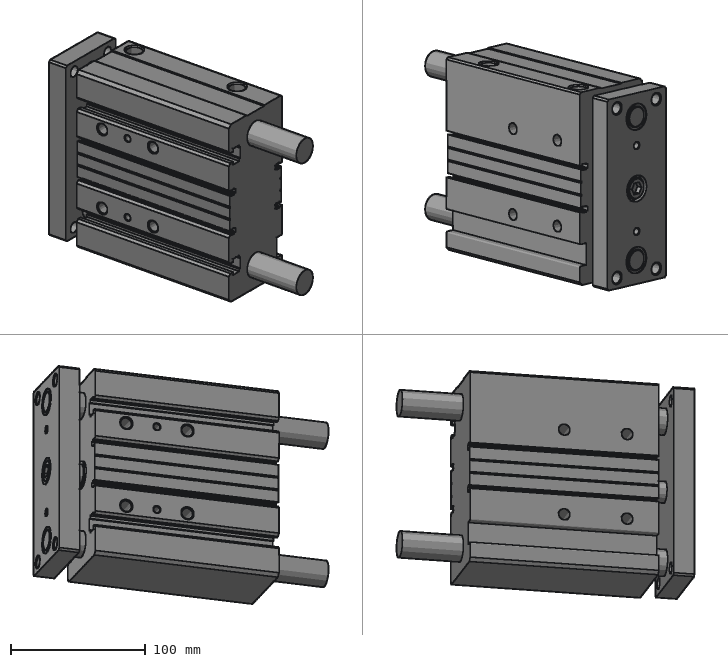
import cadquery as cq
import math


total_length = 218.0
plate_thickness = 16.0
housing_start = 27.7
housing_length = 143.9
housing_end = housing_start + housing_length

plate_width = 60.0
plate_height = 146.5
plate_chamfer = 1.5
plate_hole_y = 20.0
plate_hole_z = 65.0

housing_width = 64.0
housing_height = 148.0
half_width = housing_width / 2
half_height = housing_height / 2
corner_chamfer = 2.6
top_back_chamfer = 1.5
top_recess_half_width = 10.0
top_recess_depth = 0.7

guide_diameter = 20.0
guide_spacing = 109.9
guide_tip_diameter = 16.1
guide_tip_length = 0.7
guide_levels = (-guide_spacing / 2, guide_spacing / 2)
piston_diameter = 16.1
piston_reach = 43.5
piston_recess_diameter = 20.0
piston_recess_depth = 4.4
tip_chamfer = 0.7
hex_across_flats = 8.5
hex_depth = 4.4
collar_diameter = 21.0
collar_length = 1.3

t_slot_level = 46.0
t_slot_opening = 8.3
t_slot_cavity_height = 13.3
t_slot_neck_end = 5.0
t_slot_depth = 14.0
t_slot_floor_height = 9.2
slot_floor_step = 1.5
lip_chamfer = 2.0

land_half_height = 14.8
land_drop = 1.0
sensor_slot_opening = 3.0
sensor_slot_cavity_height = 4.8
sensor_slot_neck_end = 3.0
sensor_slot_depth = 8.3
sensor_slot_floor_height = 3.0
sensor_slot_level = land_half_height + sensor_slot_opening / 2
land_groove_level = 5.0
land_groove_width = 1.0
land_groove_depth = 0.9

back_groove_bottom = -59.3
back_groove_top = -42.5
back_groove_depth = 6.5
back_groove_fillet = 1.3

mount_hole_diameter = 8.5
mount_hole_chamfer = 0.76
pin_hole_diameter = 5.0
pin_hole_chamfer = 0.5
pin_hole_depth = 9.8
drill_point_angle = 118
hole_level = 33.0
pin_hole_x = 75.9
mount_hole_pitch = 48.0
port_positions = (40.1, 137.1)
port_y = 21.5
port_diameter = 12.6
port_chamfer = 1.0
port_depth = 13.0
port_passage_diameter = 4.5
port_passage_depth = 21.8
cross_bore_diameter = 4.8
cross_bore_length = 8.7


def rod_along_x(diameter, start, end, z=0):
    return cq.Workplane("YZ", origin=(start, 0, z)).circle(diameter / 2).extrude(end - start)


def drill(mouth, direction, diameter, depth, chamfer, pointed=False):
    """Cutter for a hole with a chamfered mouth and, if pointed, a conical drill point."""
    radius = diameter / 2
    outline = (
        cq.Workplane("XZ")
        .moveTo(0, 0)
        .lineTo(radius + chamfer, 0)
        .lineTo(radius, chamfer)
        .lineTo(radius, depth)
    )
    if pointed:
        outline = outline.lineTo(0, depth + radius / math.tan(math.radians(drill_point_angle / 2)))
    else:
        outline = outline.lineTo(0, depth)
    cutter = outline.close().revolve(360, (0, 0, 0), (0, 1, 0)).val()
    return cutter.located(cq.Location(cq.Plane(origin=mouth, normal=direction)))


def slot_along_housing(points):
    """Cutter with a (Y, Z) outline running the full length of the housing."""
    return cq.Workplane("YZ", origin=(housing_start, 0, 0)).polyline(points).close().extrude(housing_length)


def t_slot(level, opening, cavity_height, floor_height, neck_end, depth):
    """T-slot cutter entering from the -Y face, with a narrower step along the slot floor."""
    neck = opening / 2
    cavity = cavity_height / 2
    floor = floor_height / 2
    mouth_y = -half_width
    upper = [
        (mouth_y, neck),
        (mouth_y + neck_end, neck),
        (mouth_y + neck_end, cavity),
        (mouth_y + depth - slot_floor_step, cavity),
        (mouth_y + depth - slot_floor_step, floor),
        (mouth_y + depth, floor),
    ]
    lower = [(y, -z) for y, z in reversed(upper)]
    return slot_along_housing([(y, level + z) for y, z in upper + lower])


def sensor_slot(side):
    """Sensor slot cutter in the -Y face, above (+1) or below (-1) the centre land."""
    return t_slot(side * sensor_slot_level, sensor_slot_opening, sensor_slot_cavity_height,
                  sensor_slot_floor_height, sensor_slot_neck_end, sensor_slot_depth)


def lip_bevel(edge_level, outward):
    """Bevel cutter on a slot lip of the -Y face; outward is +1 or -1 along Z."""
    return slot_along_housing([
        (-half_width, edge_level),
        (-half_width, edge_level + outward * lip_chamfer),
        (-half_width + lip_chamfer, edge_level),
    ])


def housing_blank():
    outline = [
        (-half_width, corner_chamfer - half_height),
        (-half_width, half_height - corner_chamfer),
        (corner_chamfer - half_width, half_height),
        (-top_recess_half_width - top_recess_depth, half_height),
        (-top_recess_half_width, half_height - top_recess_depth),
        (top_recess_half_width, half_height - top_recess_depth),
        (top_recess_half_width + top_recess_depth, half_height),
        (half_width - top_back_chamfer, half_height),
        (half_width, half_height - top_back_chamfer),
        (half_width, corner_chamfer - half_height),
        (half_width - corner_chamfer, -half_height),
        (corner_chamfer - half_width, -half_height),
    ]
    return slot_along_housing(outline)


def cut_front_slots(body):
    for side in (-1, 1):
        wide_level = side * t_slot_level
        body = body.cut(t_slot(wide_level, t_slot_opening, t_slot_cavity_height,
                               t_slot_floor_height, t_slot_neck_end, t_slot_depth))
        for lip in (-1, 1):
            body = body.cut(lip_bevel(wide_level + lip * t_slot_opening / 2, lip))
        body = body.cut(sensor_slot(side))
        body = body.cut(lip_bevel(side * (land_half_height + sensor_slot_opening), side))
    return body


def cut_back_slots(body):
    groove_height = back_groove_top - back_groove_bottom
    groove = (
        cq.Workplane("XY")
        .box(housing_length, back_groove_depth, groove_height, centered=False)
        .translate((housing_start, half_width - back_groove_depth, back_groove_bottom))
    )
    body = body.cut(groove)
    for lip_level in (back_groove_bottom, back_groove_top):
        lip_point = (housing_start + housing_length / 2, half_width, lip_level)
        body = body.edges(cq.NearestToPointSelector(lip_point)).fillet(back_groove_fillet)
    for side in (-1, 1):
        body = body.cut(sensor_slot(side).mirror("XZ"))
    return body


def lower_centre_lands(body):
    """Set the centre lands of both sides back and cut two narrow grooves in each."""
    for face in (-1, 1):
        land_y = face * (half_width - land_drop)
        body = body.cut(slot_along_housing([
            (face * half_width, -land_half_height),
            (face * half_width, land_half_height),
            (land_y, land_half_height),
            (land_y, -land_half_height),
        ]))
        for groove_level in (-land_groove_level, land_groove_level):
            body = body.cut(slot_along_housing([
                (land_y, groove_level - land_groove_width / 2),
                (land_y, groove_level + land_groove_width / 2),
                (land_y - face * land_groove_depth, groove_level + land_groove_width / 2),
                (land_y - face * land_groove_depth, groove_level - land_groove_width / 2),
            ]))
    return body


def cut_side_holes(body):
    """Through mounting holes and blind pin holes in the -Y face."""
    inward = (0, 1, 0)
    for level in (-hole_level, hole_level):
        for offset in (-mount_hole_pitch / 2, mount_hole_pitch / 2):
            mouth = (pin_hole_x + offset, -half_width, level)
            body = body.cut(drill(mouth, inward, mount_hole_diameter, housing_width, mount_hole_chamfer))
        body = body.cut(drill((pin_hole_x, -half_width, level), inward, pin_hole_diameter,
                              pin_hole_depth, pin_hole_chamfer, pointed=True))
    return body


def cut_ports(body):
    """Air ports in the top, the rear one ending in a short cross bore."""
    down = (0, 0, -1)
    for port_x in port_positions:
        mouth = (port_x, port_y, half_height)
        body = body.cut(drill(mouth, down, port_diameter, port_depth, port_chamfer, pointed=True))
        passage = cq.Workplane(cq.Plane(origin=mouth, normal=down)).circle(port_passage_diameter / 2)
        body = body.cut(passage.extrude(port_passage_depth))
    cross_bore = rod_along_x(cross_bore_diameter, 0, cross_bore_length).translate(
        (port_positions[-1] - cross_bore_length / 2, port_y, half_height - port_passage_depth)
    )
    return body.cut(cross_bore)


def make_housing():
    body = housing_blank()
    body = cut_front_slots(body)
    body = cut_back_slots(body)
    body = lower_centre_lands(body)
    body = cut_side_holes(body)
    body = cut_ports(body)
    body = body.union(rod_along_x(collar_diameter, housing_start - collar_length, housing_start))
    body = body.cut(rod_along_x(piston_diameter, housing_start - collar_length, piston_reach))
    for level in guide_levels:
        body = body.cut(rod_along_x(guide_diameter, housing_start, housing_end, level))
    return body


def make_plate():
    plate = (
        cq.Workplane("XY")
        .box(plate_thickness, plate_width, plate_height)
        .edges("|X")
        .chamfer(plate_chamfer)
        .translate((plate_thickness / 2, 0, 0))
    )
    inward = (1, 0, 0)
    for level in (-plate_hole_z, plate_hole_z):
        for side in (-plate_hole_y, plate_hole_y):
            plate = plate.cut(drill((0, side, level), inward, mount_hole_diameter,
                                    plate_thickness, mount_hole_chamfer))
    for level in (-hole_level, hole_level):
        plate = plate.cut(drill((0, 0, level), inward, pin_hole_diameter,
                                pin_hole_depth, pin_hole_chamfer, pointed=True))
    for level in guide_levels:
        plate = plate.cut(rod_along_x(guide_diameter, 0, plate_thickness, level))
    plate = plate.cut(rod_along_x(piston_diameter, 0, plate_thickness))
    return plate.cut(rod_along_x(piston_recess_diameter, 0, piston_recess_depth))


def make_guide_rod(level):
    """Full-length guide rod whose tapered tip ends flush with the plate."""
    shaft = rod_along_x(guide_diameter, guide_tip_length, total_length, level)
    tip = cq.Workplane("YZ", origin=(guide_tip_length, 0, level)).circle(guide_tip_diameter / 2)
    tip = tip.workplane(offset=-guide_tip_length).circle(guide_tip_diameter / 2 - tip_chamfer).loft()
    return shaft.union(tip)


def make_piston_rod():
    rod = rod_along_x(piston_diameter, 0, piston_reach).faces("<X").chamfer(tip_chamfer)
    hex_across_corners = hex_across_flats / math.cos(math.pi / 6)
    socket = cq.Workplane("YZ").polygon(6, hex_across_corners).extrude(hex_depth)
    return rod.cut(socket)


housing = make_housing()
plate = make_plate()
piston_rod = make_piston_rod()
guide_rods = [make_guide_rod(level) for level in guide_levels]

result = cq.Compound.makeCompound([
    housing.val(),
    plate.val(),
    piston_rod.val(),
    *[rod.val() for rod in guide_rods],
])